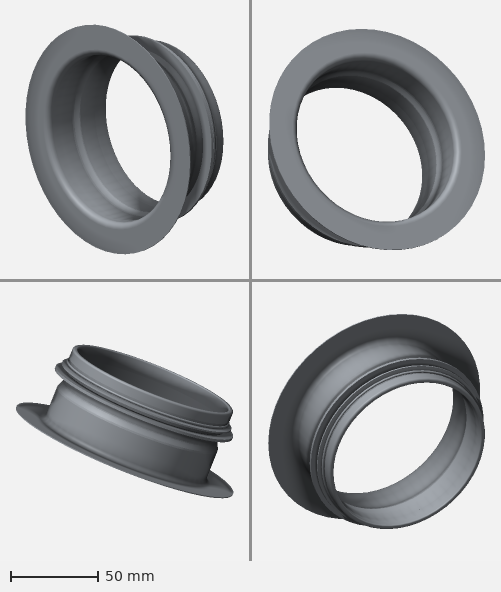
import cadquery as cq
import math


sheet = 0.6
flange_radius = 67.0
wide_radius = 99.0 / 2
narrow_radius = 95.4 / 2
flare_radius = 3.6
cone_start = 20.5
cone_end = 24.4
wide_bend_radius = 2.7
narrow_bend_radius = 1.3
collar_end = 36.2

length = 45.0
rim_bore_radius = 93.3 / 2
rim_rounding = 0.8
cap_radius = 99.0 / 2
cap_start = 38.7
cap_rounding = 1.3
sleeve_radius = 98.1 / 2
rib_radius = 109.5 / 2
rib_start = 29.6
rib_thickness = 1.6
rib_chamfer = 0.5
fin_radius = 104.4 / 2
fin_start = 33.9
fin_root_thickness = 1.5
fin_tip_thickness = 1.0
bead_radius = 0.74
bead_centre_radius = 49.6
bead_position = 36.6


def revolve_about_y(profile):
    return profile.close().revolve(360, (0, 0, 0), (0, 1, 0))


def flare_midpoint(radius):
    """Middle of the quarter arc joining the tube to the flange."""
    centre_radius = wide_radius - sheet + flare_radius
    offset = radius * math.sqrt(0.5)
    return centre_radius - offset, flare_radius - offset


def circles_at(position):
    """Selector for the circular edges at one distance along Y."""
    reach = 2 * flange_radius
    margin = 0.1
    return cq.selectors.BoxSelector(
        (-reach, position - margin, -reach), (reach, position + margin, reach)
    )


def make_collar():
    wide_bore = wide_radius - sheet
    narrow_bore = narrow_radius - sheet
    flare_edge = wide_bore + flare_radius
    profile = (
        cq.Workplane("XY")
        .moveTo(flange_radius, 0)
        .lineTo(flare_edge, 0)
        .threePointArc(flare_midpoint(flare_radius), (wide_bore, flare_radius))
        .lineTo(wide_bore, cone_start)
        .lineTo(narrow_bore, cone_end)
        .lineTo(narrow_bore, collar_end)
        .lineTo(narrow_radius, collar_end)
        .lineTo(narrow_radius, cone_end)
        .lineTo(wide_radius, cone_start)
        .lineTo(wide_radius, flare_radius)
        .threePointArc(flare_midpoint(flare_radius - sheet), (flare_edge, sheet))
        .lineTo(flange_radius, sheet)
    )
    collar = revolve_about_y(profile)
    collar = collar.edges(circles_at(cone_start)).fillet(wide_bend_radius)
    return collar.edges(circles_at(cone_end)).fillet(narrow_bend_radius)


def make_seal():
    rib_end = rib_start + rib_thickness
    bead_half_width = math.sqrt(bead_radius**2 - (bead_centre_radius - sleeve_radius) ** 2)
    cap_inset = cap_rounding * (1 - math.sqrt(0.5))
    rim_inset = rim_rounding * (1 - math.sqrt(0.5))
    profile = (
        cq.Workplane("XY")
        .moveTo(narrow_radius, rib_start)
        .lineTo(rib_radius, rib_start)
        .lineTo(rib_radius, rib_end)
        .lineTo(sleeve_radius - rib_chamfer, rib_end)
        .lineTo(sleeve_radius, rib_end + rib_chamfer)
        .lineTo(sleeve_radius, fin_start)
        .lineTo(fin_radius, fin_start)
        .lineTo(fin_radius, fin_start + fin_tip_thickness)
        .lineTo(sleeve_radius, fin_start + fin_root_thickness)
        .lineTo(sleeve_radius, bead_position - bead_half_width)
        .threePointArc(
            (bead_centre_radius + bead_radius, bead_position),
            (sleeve_radius, bead_position + bead_half_width),
        )
        .lineTo(sleeve_radius, cap_start)
        .lineTo(cap_radius, cap_start)
        .lineTo(cap_radius, length - cap_rounding)
        .threePointArc(
            (cap_radius - cap_inset, length - cap_inset),
            (cap_radius - cap_rounding, length),
        )
        .lineTo(rim_bore_radius + rim_rounding, length)
        .threePointArc(
            (rim_bore_radius + rim_inset, length - rim_inset),
            (rim_bore_radius, length - rim_rounding),
        )
        .lineTo(narrow_radius - sheet, collar_end)
        .lineTo(narrow_radius, collar_end)
    )
    return revolve_about_y(profile)


collar = make_collar()
seal = make_seal()
result = cq.Compound.makeCompound([collar.val(), seal.val()])